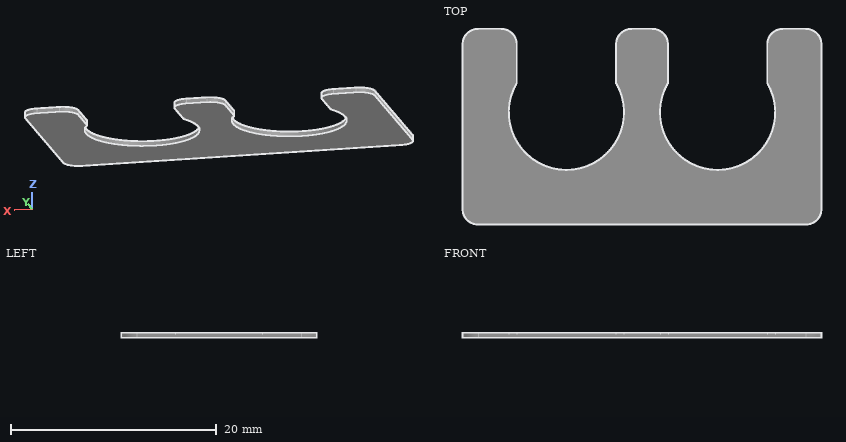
import cadquery as cq

length = 34.92
width = 19.05
thickness = 0.5
corner_radius = 1.524

seat_spacing = 14.7
seat_radius = 5.59
seat_center_y = 1.4
neck_width = 9.63


def make_plate():
    """Flat plate centred on the origin."""
    return cq.Workplane("XY").box(length, width, thickness)


def make_seat_cutter(center_x):
    """Round seat plus the straight neck that leads out of the +Y edge."""
    neck_length = width / 2 - seat_center_y
    seat = (
        cq.Workplane("XY")
        .center(center_x, seat_center_y)
        .circle(seat_radius)
        .extrude(thickness, both=True)
    )
    neck = (
        cq.Workplane("XY")
        .center(center_x, seat_center_y + neck_length / 2)
        .rect(neck_width, neck_length)
        .extrude(thickness, both=True)
    )
    return seat.union(neck)


plate = make_plate()
for side in (-1, 1):
    plate = plate.cut(make_seat_cutter(side * seat_spacing / 2))

tip_edges = plate.faces(">Y").edges("|Z")
base_edges = plate.faces("<Y").edges("|Z")
result = plate.newObject(tip_edges.vals() + base_edges.vals()).fillet(corner_radius)